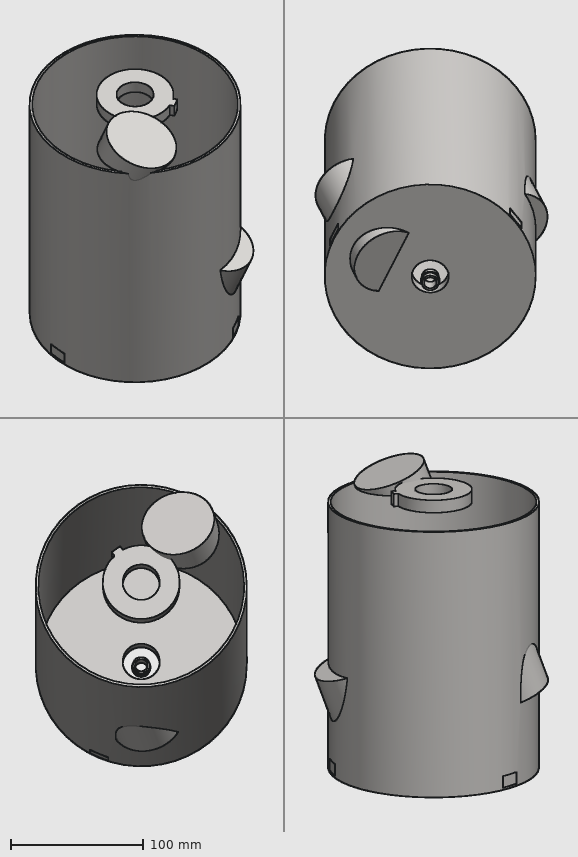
import cadquery as cq
import math

housing_diameter = 160.0
bore_diameter = 156.0
housing_height = 210.0
floor_thickness = 10.0
center_hole_diameter = 28.0

pod_count = 3
pod_diameter = 56.0
pod_length = 94.8
pod_tilt = 20
pod_orbit_radius = 50.0
pod_first_height = 43.3
pod_rise = 66.7
golden_angle = 180 * (3 - math.sqrt(5))

pad_count = 3
pad_width = 15.0
pad_height = 9.2
pad_bottom = 2.0
pad_reach = housing_diameter / 2

ring_diameter = 58.3
ring_height = 10.0
key_width = 8.0
key_reach = 32.5

nozzle_diameter = 12.8
nozzle_bore_diameter = 9.5
nozzle_length = 10.0
barb_diameter = 14.3
barb_height = 1.7
barb_step_depth = 5.5


def cylinder(diameter, height, bottom=0):
    return cq.Workplane("XY").workplane(offset=bottom).circle(diameter / 2).extrude(height)


def make_pod(index):
    """Round pod leaning toward +X, centred on its place along the spiral."""
    angle = math.radians(index * golden_angle)
    center = (
        pod_orbit_radius * math.cos(angle),
        pod_orbit_radius * math.sin(angle),
        pod_first_height + index * pod_rise,
    )
    upright = cylinder(pod_diameter, pod_length, -pod_length / 2)
    return upright.rotate((0, 0, 0), (0, 1, 0), pod_tilt).translate(center)


def make_pad(index):
    """Flat-faced block through the wall, its outer face tangent to the can."""
    inner_reach = bore_diameter / 2
    block = cq.Workplane("XY").box(
        pad_reach - inner_reach, pad_width, pad_height, centered=(False, True, False)
    )
    placed = block.translate((inner_reach, 0, pad_bottom))
    return placed.rotate((0, 0, 0), (0, 0, 1), index * 360 / pad_count)


def make_housing():
    body = cylinder(housing_diameter, housing_height)
    for index in range(pod_count):
        body = body.union(make_pod(index))
    for index in range(pad_count):
        body = body.union(make_pad(index))
    bore = cylinder(bore_diameter, housing_height - floor_thickness, floor_thickness)
    center_hole = cylinder(center_hole_diameter, floor_thickness)
    return body.cut(bore).cut(center_hole)


def make_keyed_ring():
    disc = cylinder(ring_diameter, ring_height)
    key = cq.Workplane("XY").box(key_reach, key_width, ring_height, centered=(False, True, False))
    ring = disc.union(key).cut(cylinder(center_hole_diameter, ring_height))
    return ring.translate((0, 0, housing_height))


def make_nozzle():
    tube = cylinder(nozzle_diameter, nozzle_length, -nozzle_length)
    barb = cq.Workplane("XY").add(
        cq.Solid.makeCone(
            barb_diameter / 2, nozzle_diameter / 2, barb_height, cq.Vector(0, 0, -barb_step_depth)
        )
    )
    return tube.union(barb).cut(cylinder(nozzle_bore_diameter, nozzle_length, -nozzle_length))


housing = make_housing()
keyed_ring = make_keyed_ring()
nozzle = make_nozzle()

result = cq.Compound.makeCompound([housing.val(), keyed_ring.val(), nozzle.val()])